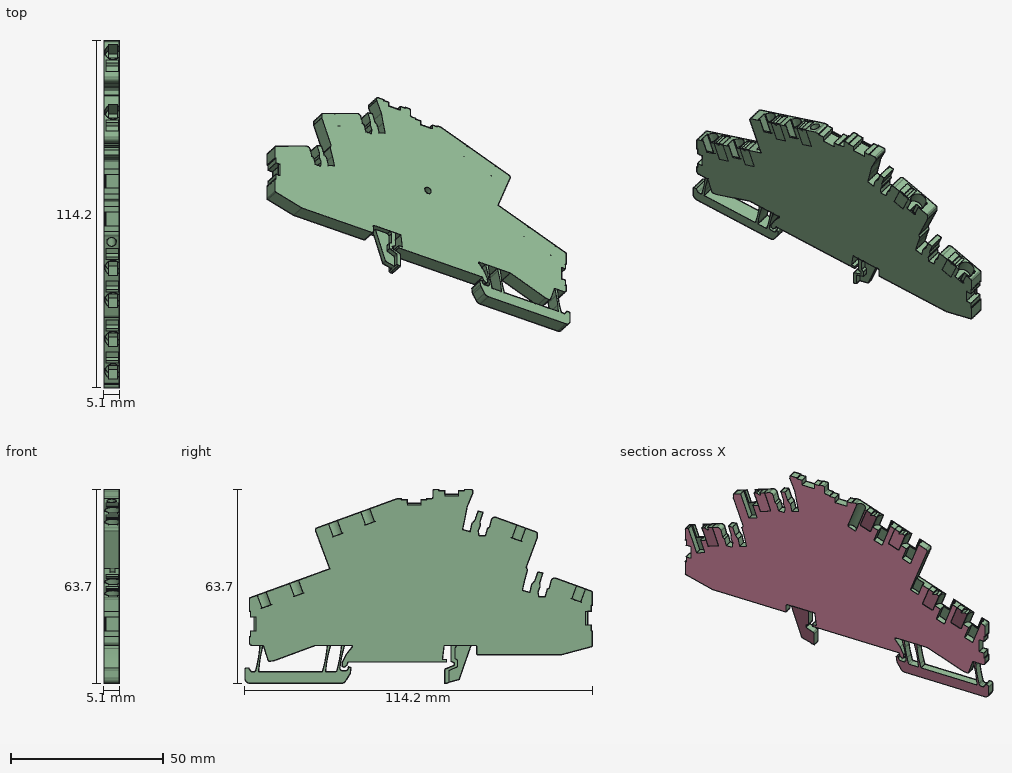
import cadquery as cq
import math


thickness = 5.1
height = 63.7
slope = math.radians(20)
left_tier_step = (19.6, -20.0)
right_tier_step_y = -23.4

underside_z = 12.5
lower_left_z = 9.4
rail_face_z = 7.0
shoulder_z = 60.7
left_end_y = 57.1
right_end_y = -55.6
upper_right_start = (-7.0, shoulder_z)
lower_right_start = (-29.2, 37.7)
upper_left_mouth = (24.2, 55.0)

terminal_offset_x = 0.17
window_width = 4.1
window_length = 3.9
button_depth = 6.9
button_land = 1.8
groove_length = 1.1
groove_depth = 0.9
entry_center = 6.7
entry_radius = 2.6
entry_depth = 4.6
entry_offset_x = 0.5
shaft_size = 3.1
shaft_depth = 9.1
terminal_pitch = 11.3
first_terminal_right_y = -11.2
first_terminal_left_y = 27.4

marker_step_length = 8.3
marker_step_depth = 0.3
marker_slot_length = 4.5
marker_slot_depth = 2.2
marker_lip_width = 0.7
marker_lip_depth = 1.5
marker_lip_chamfer = 0.3

test_hole_diameter = 3.1
test_hole_y = -9.0
test_hole_depth = 10.3
side_hole_diameter = 2.4
side_hole_depth = 2.3
side_hole_place = (-2.0, 33.8)
pocket_width = 1.7
pocket_length = 3.0
pocket_depth = 4.6
pocket_offset_x = 0.3
latch_web_thickness = 1.7


def shifted(points, step):
    return [(p[0] + step[0], p[1] + step[1], *p[2:]) for p in points]


def plate(points, width=thickness):
    """Flat body with the given outline, centred on X = 0; corners with a radius become arcs."""
    rounded = []
    for i, point in enumerate(points):
        corner = cq.Vector(point[0], point[1])
        radius = point[2] if len(point) > 2 else 0
        if radius == 0:
            rounded.append((corner, corner, corner))
            continue
        following = points[(i + 1) % len(points)]
        to_last = (cq.Vector(*points[i - 1][:2]) - corner).normalized()
        to_next = (cq.Vector(*following[:2]) - corner).normalized()
        half_angle = to_last.getAngle(to_next) / 2
        setback = radius / math.tan(half_angle)
        bisector = (to_last + to_next).normalized()
        middle = corner + bisector * (radius / math.sin(half_angle) - radius)
        rounded.append((corner + to_last * setback, middle, corner + to_next * setback))

    start = rounded[0][2]
    outline = cq.Workplane("YZ", origin=(-width / 2, 0, 0)).moveTo(start.x, start.y)
    for entry, middle, leave in rounded[1:] + rounded[:1]:
        outline = outline.lineTo(entry.x, entry.y)
        if entry is not leave:
            outline = outline.threePointArc(middle.toTuple()[:2], leave.toTuple()[:2])
    return outline.close().extrude(width)



def height_on_face(face_point, y, side):
    """Z of a face through face_point that falls towards +Y (side 1) or -Y (side -1)."""
    return face_point[1] - side * (y - face_point[0]) * math.tan(slope)


def face_plane(y, z, side):
    """Workplane on a sloping face; its local Y times side runs outwards and down the slope."""
    normal = (0, side * math.sin(slope), math.cos(slope))
    return cq.Workplane(cq.Plane(origin=(0, y, z), xDir=(1, 0, 0), normal=normal))


def terminal_places():
    """(Y, Z, side) of the inner window edge of all six terminals."""
    places = []
    for tier in range(2):
        y = first_terminal_left_y
        z = height_on_face(upper_left_mouth, y, 1)
        places.append((y + tier * left_tier_step[0], z + tier * left_tier_step[1], 1))
    for tier, face_point in enumerate([upper_right_start, lower_right_start]):
        for position in range(2):
            y = first_terminal_right_y - position * terminal_pitch * math.cos(slope)
            y += tier * right_tier_step_y
            places.append((y, height_on_face(face_point, y, -1), -1))
    return places


def button_block(y, z, side):
    center = side * window_length / 2
    return (
        face_plane(y, z, side)
        .center(terminal_offset_x, center)
        .rect(window_width, window_length)
        .extrude(-button_depth)
    )


def release_button(y, z, side):
    """Button flush with the face, with a one-sided V groove across it."""
    along = (0, side * math.cos(slope), -math.sin(slope))
    left_x = terminal_offset_x - window_width / 2
    section = cq.Plane(origin=(left_x, y, z), xDir=along, normal=(side, 0, 0))
    groove_end = button_land + groove_length
    groove = (
        cq.Workplane(section)
        .polyline([(button_land, 0), (button_land, -groove_depth), (groove_end, 0)])
        .close()
        .extrude(side * window_width)
    )
    return button_block(y, z, side).cut(groove)


def wire_entry(y, z, side):
    """Round mouth, open through the +X face, with a square shaft along its outer edge."""
    mouth = (
        face_plane(y, z, side)
        .center(entry_offset_x, side * entry_center)
        .circle(entry_radius)
        .extrude(-entry_depth)
    )
    shaft_center = entry_center + entry_radius - shaft_size / 2
    shaft = (
        face_plane(y, z, side)
        .center(entry_offset_x, side * shaft_center)
        .rect(shaft_size, shaft_size)
        .extrude(-shaft_depth)
    )
    return mouth.union(shaft)



def latching_slots():
    """Two undercut slots and the spring post between them, at the upper tier on the +Y side."""
    return [
        (*upper_left_mouth, 1.3), (23.3, 51.4), (22.6, 50.9), (21.9, 48.5), (19.9, 48.5),
        (19.6, 50.1), (20.3, 51.8), (20.2, 53.1), (21.2, 56.3), (19.5, 56.6),
        (18.5, 53.7), (17.5, 52.5), (16.9, 49.9), (14.5, 50.6),
    ]


def housing_outline():
    lower_left_mouth = shifted([upper_left_mouth], left_tier_step)[0]
    left_top_z = height_on_face(lower_left_mouth, left_end_y, 1)
    right_top_z = height_on_face(lower_right_start, right_end_y, -1)
    upper_left_y = 39.0
    upper_right_y = -34.1
    upper_left_tip = (upper_left_y, height_on_face(upper_left_mouth, upper_left_y, 1))
    upper_right_tip = (upper_right_y, height_on_face(upper_right_start, upper_right_y, -1))
    top_block = [(15.3, 54.3), (16.0, 58.0), (17.8, 62.5), (17.8, height, 0.5), (4.7, height, 0.5),
                 (4.7, shoulder_z, 0.5)]
    right_side = [(*upper_right_start, 0.9), (*upper_right_tip, 0.8), lower_right_start,
                  (right_end_y, right_top_z, 0.5), (right_end_y, underside_z, 0.9)]
    lower_wedge = [(-51.0, underside_z), (-49.3, 7.2, 0.6), (-47.5, 7.4), (-33.9, underside_z)]
    rail_hook = [(-21.8, underside_z), (-21.8, 12.0), (-23.7, 9.6), (-25.1, 6.9), (-25.1, 5.6),
                 (-24.4, 5.3), (-23.5, 5.9), (-23.2, rail_face_z)]
    rail_lug = [(9.2, rail_face_z), (9.2, 7.9), (7.9, 7.9), (8.5, underside_z)]
    left_bottom = [(19.1, underside_z, 0.3), (19.1, lower_left_z, 0.5), (46.8, lower_left_z),
                   (left_end_y, 12.1, 0.3)]
    left_end = [(left_end_y, left_top_z, 0.6)]
    tier_wall = [(34.9, 34.1), (35.8, 37.3), (35.4, 38.1), (upper_left_y, 48.0), (*upper_left_tip, 0.6)]
    return (
        latching_slots() + top_block + right_side + lower_wedge + rail_hook + rail_lug
        + left_bottom + left_end + shifted(latching_slots(), left_tier_step) + tier_wall
    )


def marker_recess(y, z, direction):
    """Cutter for a marker recess centred at (y, z) in an edge facing the unit vector (Y, Z)."""
    outward_y, outward_z = direction
    edge = cq.Plane(origin=(0, y, z), xDir=(1, 0, 0), normal=(0, outward_y, outward_z))
    section = cq.Plane(origin=(0, y, z), xDir=(1, 0, 0), normal=(0, -outward_z, outward_y))
    side_x = thickness / 2
    slot_profile = [
        (-side_x, 0),
        (-side_x, -marker_lip_depth - marker_lip_chamfer),
        (-side_x + marker_lip_chamfer, -marker_lip_depth),
        (-side_x + marker_lip_width, -marker_lip_depth),
        (-side_x + marker_lip_width, -marker_slot_depth),
        (side_x, -marker_slot_depth),
        (side_x, 0),
    ]
    step = cq.Workplane(edge).rect(thickness, marker_step_length).extrude(-marker_step_depth)
    slot = cq.Workplane(section).polyline(slot_profile).close().extrude(marker_slot_length / 2, both=True)
    return step.union(slot)


def test_hole():
    z = height_on_face(upper_right_start, test_hole_y, -1)
    return face_plane(test_hole_y, z, -1).circle(test_hole_diameter / 2).extrude(-test_hole_depth)


def inner_corner_pocket():
    return (
        face_plane(*lower_right_start, -1)
        .center(pocket_offset_x, -pocket_length / 2)
        .rect(pocket_width, pocket_length)
        .extrude(-pocket_depth)
    )


def side_hole():
    return (
        cq.Workplane("YZ", origin=(-thickness / 2, 0, 0))
        .center(*side_hole_place)
        .circle(side_hole_diameter / 2)
        .extrude(side_hole_depth)
    )


def make_housing():
    body = plate(housing_outline())
    markers = [
        (10.8, height, (0, 1)),
        (-1.5, shoulder_z, (0, 1)),
        (left_end_y, 21.5, (1, 0)),
        (right_end_y, 19.5, (-1, 0)),
    ]
    for marker in markers:
        body = body.cut(marker_recess(*marker))
    for place in terminal_places():
        body = body.cut(button_block(*place)).cut(wire_entry(*place))
    return body.cut(test_hole()).cut(inner_corner_pocket()).cut(side_hole())



def make_rail_foot():
    """Bar with a rounded socket at one end, hung from the housing by three slanted struts."""
    bar_top_z = 3.9
    end_y = -57.1
    bend_z = 8.1
    bend_radius = 36.5
    socket = [(-22.1, 5.3, 0.2), (-23.1, 5.5), (-23.3, 4.2, 0.8), (-25.9, 4.2, 0.8)]
    inner_strut = [(-25.5, bend_z, bend_radius), (-24.3, underside_z),
                   (-25.3, underside_z), (-25.9, bend_z, bend_radius), (-27.0, bar_top_z, 0.5)]
    middle_strut = [(-30.5, bar_top_z), (-30.1, bend_z, bend_radius), (-28.9, underside_z),
                    (-30.0, underside_z), (-30.5, bend_z, bend_radius), (-31.6, bar_top_z)]
    outer_strut = [(-52.5, bar_top_z), (-52.1, bend_z, bend_radius), (-51.1, underside_z),
                   (-52.2, underside_z), (-52.5, bend_z, bend_radius), (-53.7, bar_top_z, 0.5)]
    tip = [(-55.0, bar_top_z, 0.3), (-55.8, 5.1), (end_y, 5.1, 0.7), (end_y, 0, 1.7)]
    inner_end = [(-24.4, 0, 1.7), (-22.4, 3.3, 1.7)]
    return plate(socket + inner_strut + middle_strut + outer_strut + tip + inner_end)


def make_latch():
    """Rail latch: a thin web edged by a full-width rim on the side facing the rail."""
    rim_inside = [(9.9, 0.3), (9.9, 4.2, 0.3), (12.8, 5.5), (12.8, 7.6), (12.0, 8.1), (12.0, 11.6),
                  (12.6, underside_z)]
    rim_outside = [(10.6, underside_z), (10.6, 7.3, 0.3), (11.6, 6.7), (11.6, 5.9), (8.6, 4.7, 0.6),
                   (8.6, 0), (9.4, 0)]
    web_edge = [(17.2, underside_z), (13.4, 1.3, 0.3)]
    rim = plate(rim_inside + rim_outside)
    web = plate(rim_inside + web_edge, latch_web_thickness)
    return rim.union(web)


housing = make_housing()
rail_foot = make_rail_foot()
latch = make_latch()
buttons = [release_button(*place) for place in terminal_places()]

result = cq.Compound.makeCompound(
    [housing.val(), rail_foot.val(), latch.val(), *[button.val() for button in buttons]]
)